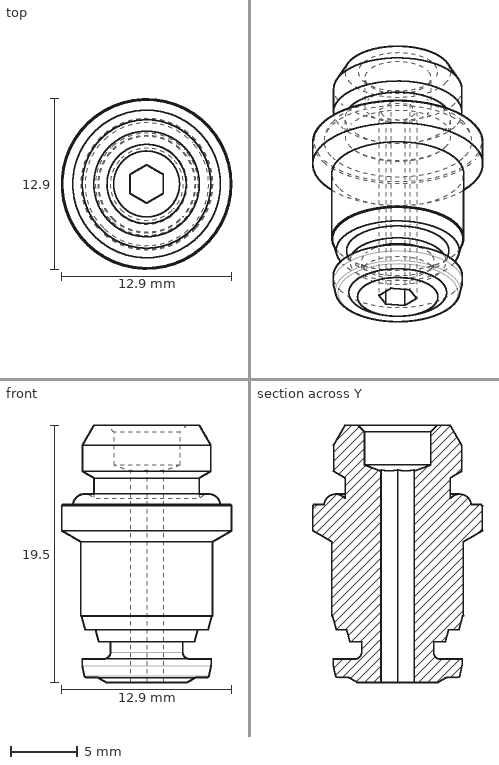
import cadquery as cq
import math

height = 19.5

bevel_slope = math.tan(math.radians(30))
taper = math.tan(math.radians(15))
foot_taper = math.tan(math.radians(12))

neck_radius = 8.0 / 2
collar_lead_in = 1.5
collar_radius = neck_radius + collar_lead_in * bevel_slope
collar_band_bottom = height - 3.5
collar_bottom = collar_band_bottom - (collar_radius - neck_radius) * bevel_slope

flange_radius = 12.9 / 2
flange_top = height - 6.0
flange_band_bottom = height - 8.0
flange_edge_chamfer = 0.1

ring_section_radius = 0.9
ring_center_radius = 4.7
ring_center_z = flange_top - 0.1

body_radius = 10.0 / 2
flange_bottom = flange_band_bottom - (flange_radius - body_radius) * bevel_slope
body_bottom = 5.08
body_edge_chamfer = 0.06
body_taper_top = body_bottom - body_edge_chamfer
body_taper_radius = body_radius - body_edge_chamfer
body_taper_bottom = 4.0
body_end_radius = body_taper_radius - (body_taper_top - body_taper_bottom) * taper

plug_radius = 3.88
plug_bottom = 3.1
plug_end_radius = plug_radius - (body_taper_bottom - plug_bottom) * taper

stem_radius = 5.5 / 2
stem_fillet = 0.5

foot_radius = 9.8 / 2
foot_top = 1.8
foot_band_bottom = 1.3
foot_bottom = 0.38
foot_edge_fillet = 0.2
foot_end_radius = foot_radius - (foot_band_bottom - foot_bottom) * foot_taper
pad_end_radius = 3.05
pad_radius = pad_end_radius + foot_bottom / bevel_slope

bore_radius = 5.0 / 2
bore_mouth_radius = 6.0 / 2
bore_mouth_depth = bore_mouth_radius - bore_radius
bore_depth = 3.0
floor_half_angle = math.radians(70)
floor_depth = bore_radius / math.tan(floor_half_angle)
hex_across_flats = 2.5
hex_across_corners = hex_across_flats * 2 / math.sqrt(3)


def revolve_profile(profile):
    """Close a profile drawn as (radius, Z) and turn it about the Z axis."""
    return profile.close().revolve(360, (0, 0, 0), (0, 1, 0))


def make_foot():
    foot = revolve_profile(
        cq.Workplane("XZ")
        .moveTo(0, foot_top)
        .lineTo(foot_radius, foot_top)
        .lineTo(foot_radius, foot_band_bottom)
        .lineTo(foot_end_radius, foot_bottom)
        .lineTo(0, foot_bottom)
    )
    foot = foot.faces("<Z").edges().fillet(foot_edge_fillet)
    pad = revolve_profile(
        cq.Workplane("XZ")
        .lineTo(pad_end_radius, 0)
        .lineTo(pad_radius, foot_bottom)
        .lineTo(0, foot_bottom)
    )
    return foot.union(pad)


def make_shaft():
    """Everything above the foot, from the stem fillet up to the collar."""
    fillet_mid = stem_fillet * (1 - math.sqrt(0.5))
    return revolve_profile(
        cq.Workplane("XZ")
        .moveTo(0, foot_top)
        .lineTo(stem_radius + stem_fillet, foot_top)
        .threePointArc(
            (stem_radius + fillet_mid, foot_top + fillet_mid),
            (stem_radius, foot_top + stem_fillet),
        )
        .lineTo(stem_radius, plug_bottom)
        .lineTo(plug_end_radius, plug_bottom)
        .lineTo(plug_radius, body_taper_bottom)
        .lineTo(body_end_radius, body_taper_bottom)
        .lineTo(body_taper_radius, body_taper_top)
        .lineTo(body_radius, body_bottom)
        .lineTo(body_radius, flange_bottom)
        .lineTo(flange_radius, flange_band_bottom)
        .lineTo(flange_radius, flange_top - flange_edge_chamfer)
        .lineTo(flange_radius - flange_edge_chamfer, flange_top)
        .lineTo(neck_radius, flange_top)
        .lineTo(neck_radius, collar_bottom)
        .lineTo(collar_radius, collar_band_bottom)
        .lineTo(collar_radius, height - collar_lead_in)
        .lineTo(neck_radius, height)
        .lineTo(0, height)
    )


def make_ring():
    """Round bead, partly sunk into the flange and the neck."""
    neck_reach = ring_center_radius - neck_radius
    flange_reach = flange_top - ring_center_z
    ring_rise_at_neck = math.sqrt(ring_section_radius**2 - neck_reach**2)
    ring_reach_at_flange = math.sqrt(ring_section_radius**2 - flange_reach**2)

    return revolve_profile(
        cq.Workplane("XZ")
        .moveTo(neck_radius, flange_top)
        .lineTo(neck_radius, ring_center_z + ring_rise_at_neck)
        .threePointArc(
            (ring_center_radius, ring_center_z + ring_section_radius),
            (ring_center_radius + ring_reach_at_flange, flange_top),
        )
    )


def make_bore():
    floor_rim = height - bore_depth
    return revolve_profile(
        cq.Workplane("XZ")
        .moveTo(0, height)
        .lineTo(bore_mouth_radius, height)
        .lineTo(bore_radius, height - bore_mouth_depth)
        .lineTo(bore_radius, floor_rim)
        .lineTo(0, floor_rim - floor_depth)
    )


def make_hex_passage():
    """Through hexagon with its corners on the Y axis."""
    return (
        cq.Workplane("XY")
        .transformed(rotate=(0, 0, 90))
        .polygon(6, hex_across_corners)
        .extrude(height)
    )


solid_part = make_foot().union(make_shaft()).union(make_ring())
result = solid_part.cut(make_bore()).cut(make_hex_passage())